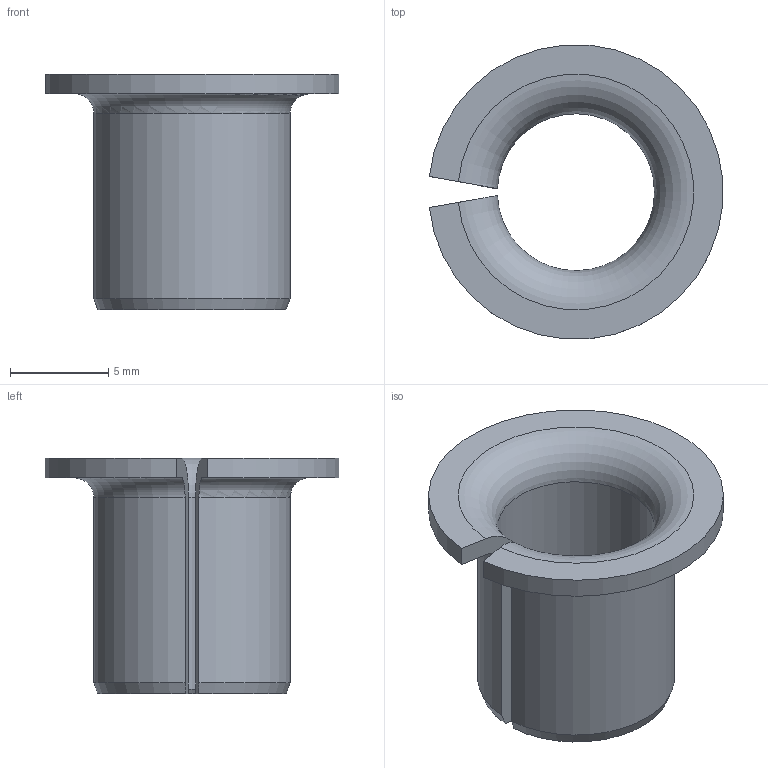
import cadquery as cq
import math

bore_radius = 4.0
wall = 1.0
flange_radius = 7.5
total_length = 12.0
bore_flare_radius = 2.0
lead_in_angle = 20.0
lead_in_height = 0.58
bore_chamfer_angle = 30.0
bore_chamfer_height = 0.25
slit_half_width_at_bore = 0.18
slit_half_angle = 10.0

body_radius = bore_radius + wall
neck_fillet_radius = bore_flare_radius - wall
bottom_z = -total_length
flange_bottom_z = -wall
lead_in_depth = lead_in_height * math.tan(math.radians(lead_in_angle))
bore_chamfer_depth = bore_chamfer_height * math.tan(math.radians(bore_chamfer_angle))


def arc_midpoint(center_r, center_z, radius):
    """Middle of the quarter arc that faces the axis and the top."""
    offset = radius * math.cos(math.radians(45))
    return (center_r - offset, center_z + offset)


def flanged_sleeve():
    """Revolve the wall section, drawn as radius and height, about Z."""
    center_r = bore_radius + bore_flare_radius
    center_z = -bore_flare_radius
    section = (
        cq.Workplane("XZ")
        .moveTo(bore_radius, bottom_z + bore_chamfer_height)
        .lineTo(bore_radius + bore_chamfer_depth, bottom_z)
        .lineTo(body_radius - lead_in_depth, bottom_z)
        .lineTo(body_radius, bottom_z + lead_in_height)
        .lineTo(body_radius, center_z)
        .threePointArc(
            arc_midpoint(center_r, center_z, neck_fillet_radius),
            (center_r, flange_bottom_z),
        )
        .lineTo(flange_radius, flange_bottom_z)
        .lineTo(flange_radius, 0)
        .lineTo(center_r, 0)
        .threePointArc(
            arc_midpoint(center_r, center_z, bore_flare_radius),
            (bore_radius, center_z),
        )
        .close()
    )
    sleeve = section.revolve(360, (0, 0), (0, 1))
    return sleeve.rotate((0, 0, 0), (0, 0, 1), 180)


def slit_cutter():
    """Wedge that opens the sleeve along its whole length on the -X side."""
    slope = math.tan(math.radians(slit_half_angle))
    apex_x = slit_half_width_at_bore / slope - bore_radius
    outer_x = -(flange_radius + wall)
    outer_half_width = (apex_x - outer_x) * slope
    return (
        cq.Workplane("XY", origin=(0, 0, bottom_z))
        .moveTo(apex_x, 0)
        .lineTo(outer_x, outer_half_width)
        .lineTo(outer_x, -outer_half_width)
        .close()
        .extrude(total_length)
    )


result = flanged_sleeve().cut(slit_cutter())